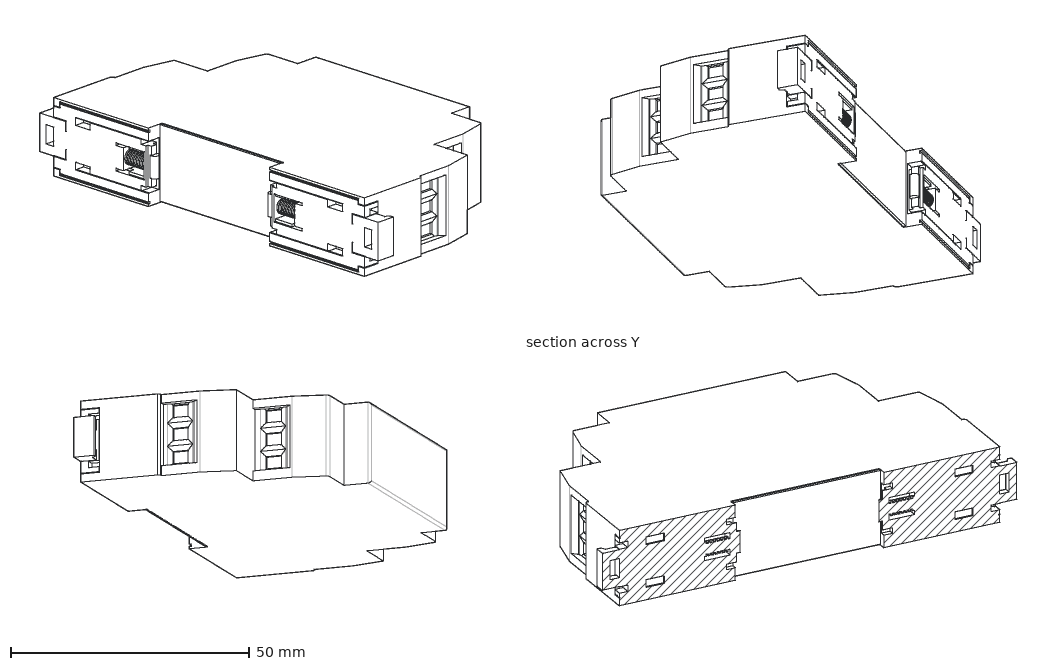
import cadquery as cq

overall_length = 98.0
housing_depth = 56.4
housing_height = 17.5
half_height = housing_height / 2

cap_half = 22.2
cap_base = 50.5
upper_shoulder_half = 31.1
upper_wall_half = 32.8
upper_slope_end = 42.9
lower_shoulder = 34.1
lower_shoulder_half = 42.4
lower_wall_half = 44.1
lower_slope_end = 26.6
base_step = 17.8
base_step_chamfer = 0.5
base_half = 45.0
shoulder_radius = 0.8
cap_radius = 0.6

rail_half = 17.5
rail_rim = 4.2
rail_floor = 3.6
rail_floor_setback = 0.2

window_tops = (42.4, 25.9)
window_shelves = (lower_shoulder, base_step)
window_walls = (upper_wall_half, lower_wall_half)
window_height = 13.5
window_center_z = 0.15
window_depth = 1.3
window_bevel = 1.2
cell_drop = 4.3
cell_count = 3
cell_pitch = 5.0
cell_center_z = 0.3
cell_width = 5.7
cell_hole_width = 3.4
cell_hole_height = 2.6
cell_funnel_depth = 0.34
cell_hole_depth = 1.0

latch_half = 4.3
latch_lip_height = 4.6
latch_strap_height = 3.6
latch_lip_width = 0.9
latch_lip_slope = 0.7
latch_slot_half = 2.2
latch_slot_start = 47.1
latch_tail = 41.5
latch_tail_mark = 2.3

seam_width = 0.1
seam_depth = 0.3
gap_inner = 7.7
gap_outer = 8.2
gap_depth = 0.5
corner_length = 1.8
corner_inner = 7.0
plate_height = 4.2
tongue_half = 5.8
tongue_start = 38.6
pocket_length = 4.2
pocket_width = 1.7
pocket_depth = 2.45
side_pocket_bottom = 1.8
side_pocket_width = 1.4
side_pocket_depth = 2.0

catch_opening_end = 19.6
catch_opening_height = 3.2
catch_half = 4.6
catch_end = 18.2
catch_bar_end = 17.2
catch_middle = 1.5
catch_bar_height = 1.6
nose_half = 2.5
nose_tip = 16.1
nose_radius = 1.0

spring_start = 24.8
spring_end = 18.8
spring_window_half = 2.5
spring_window_depth = 4.4
spring_axis = 2.2
spring_radius = 1.715
spring_core_radius = 1.3
spring_coils = 7
arm_start = 26.95
arm_step = 23.6
arm_half = 3.1
arm_ledge_depth = 0.5
arm_depth = 2.0


def box(x0, x1, y0, y1, z0, z1):
    """Box given by its limits along each axis."""
    return cq.Workplane("XY").box(x1 - x0, y1 - y0, z1 - z0, centered=False).translate((x0, y0, z0))


def both_z(shape):
    """The shape together with its mirror image across Z = 0."""
    return shape.union(shape.mirror("XY"))


def both_ends(shape):
    """The shape together with its mirror image across X = 0."""
    return shape.union(shape.mirror("YZ"))


def make_housing():
    right_side = [
        (rail_half, 0),
        (base_half, 0),
        (base_half, base_step - base_step_chamfer),
        (base_half - base_step_chamfer, base_step),
        (lower_wall_half, base_step),
        (lower_wall_half, lower_slope_end),
        (lower_shoulder_half, lower_shoulder),
        (upper_wall_half, lower_shoulder),
        (upper_wall_half, upper_slope_end),
        (upper_shoulder_half, cap_base),
        (cap_half, cap_base),
        (cap_half, housing_depth),
    ]
    left_side = [(-x, y) for x, y in reversed(right_side)]
    outline = right_side + left_side + [(-rail_half, rail_rim), (rail_half, rail_rim)]
    housing = cq.Workplane("XY").polyline(outline).close().extrude(half_height, both=True)

    for x in (-upper_shoulder_half, upper_shoulder_half):
        corner = cq.selectors.NearestToPointSelector((x, cap_base, 0))
        housing = housing.edges(corner).fillet(shoulder_radius)
    housing = housing.faces(">Y").edges().fillet(cap_radius)

    floor_half = half_height - rail_floor_setback
    return housing.union(box(-rail_half, rail_half, rail_floor, rail_rim, -floor_half, floor_half))


def make_terminal_cut(wall, top, shelf):
    """Bevelled window holding a row of tapered wells with rectangular holes."""
    floor = wall - window_depth
    low = window_center_z - window_height / 2
    high = window_center_z + window_height / 2
    window_profile = [
        (-wall, shelf),
        (-wall, top),
        (-wall + window_bevel, top - window_bevel),
        (-floor, top - window_bevel),
        (-floor, shelf),
    ]
    window = cq.Workplane("XY").workplane(offset=low).polyline(window_profile).close().extrude(high - low)

    wells = None
    for index in range(cell_count):
        z = cell_center_z + (index - (cell_count - 1) / 2) * cell_pitch
        mouth = cq.Workplane("YZ", origin=(-floor, top - cell_drop, z))
        well = (
            mouth.rect(cell_width, cell_pitch)
            .workplane(offset=cell_funnel_depth)
            .rect(cell_hole_width, cell_hole_height)
            .loft()
        )
        well = well.union(mouth.rect(cell_hole_width, cell_hole_height).extrude(cell_hole_depth))
        wells = well if wells is None else wells.union(well)
    reach = box(-floor, -floor + cell_hole_depth, shelf, top, low, high)
    return window.union(wells.intersect(reach))


def make_latch_tab():
    """Strap standing out of the end wall, with a raised lip and a finger slot."""
    tip = -overall_length / 2
    profile = [
        (tip, 0),
        (tip, latch_lip_height),
        (tip + latch_lip_width, latch_lip_height),
        (tip + latch_lip_width + latch_lip_slope, latch_strap_height),
        (-base_half, latch_strap_height),
        (-base_half, 0),
    ]
    tab = cq.Workplane("XY").polyline(profile).close().extrude(latch_half, both=True)
    slot = box(-latch_slot_start, -base_half, 0, latch_lip_height, -latch_slot_half, latch_slot_half)
    return tab.cut(slot)


def seam_along_x(x0, x1, z):
    """Hairline groove in the underside running along X."""
    return box(x0, x1, 0, seam_depth, z - seam_width / 2, z + seam_width / 2)


def seam_along_z(x, z0, z1):
    """Hairline groove in the underside running along Z."""
    return box(x - seam_width / 2, x + seam_width / 2, 0, seam_depth, z0, z1)


def make_base_cuts():
    """Gaps, part lines and pockets of the base plate at the -X end."""
    gap_start = -base_half + corner_length
    cuts = [
        box(gap_start, -rail_half, 0, gap_depth, gap_inner, gap_outer),
        seam_along_z(gap_start, corner_inner, gap_outer),
        box(-base_half, gap_start, 0, seam_depth, corner_inner - seam_width, corner_inner),
        box(-base_half, -base_half + seam_depth, 0, plate_height, corner_inner - seam_width, corner_inner),
        box(-base_half, -base_half + seam_depth, plate_height - seam_width, plate_height, 0, corner_inner),
        seam_along_x(-base_half, -latch_tail, latch_half),
        seam_along_z(-latch_tail, latch_half - latch_tail_mark, latch_half),
        seam_along_x(-tongue_start, -rail_half, tongue_half),
        box(
            -tongue_start,
            -tongue_start + pocket_length,
            0,
            pocket_depth,
            tongue_half - pocket_width,
            tongue_half,
        ),
        box(
            -base_half,
            -base_half + side_pocket_depth,
            side_pocket_bottom,
            plate_height,
            tongue_half - side_pocket_width,
            tongue_half,
        ),
    ]
    merged = cuts[0]
    for cut in cuts[1:]:
        merged = merged.union(cut)
    return both_z(merged)


def make_catch_opening():
    """Opening in the rail recess wall around the narrower end of the tongue."""
    opening = box(-catch_opening_end, -rail_half, 0, catch_opening_height, -tongue_half, tongue_half)
    tongue = box(-catch_opening_end, -catch_end, 0, catch_opening_height, -catch_half, catch_half)
    return opening.cut(tongue)


def make_catch():
    """Bar across the tongue end and its rounded nose that hooks the rail."""
    low = catch_middle - catch_bar_height / 2
    high = catch_middle + catch_bar_height / 2
    bar = box(-catch_end, -catch_bar_end, low, high, -catch_half, catch_half)
    nose = (
        cq.Workplane("XY")
        .center(-nose_tip - nose_radius, catch_middle)
        .circle(nose_radius)
        .extrude(nose_half, both=True)
    )
    return bar.union(nose)


def make_spring_pocket():
    """Window for the spring with a stepped slit along each side."""
    window = box(
        -spring_start,
        -spring_end,
        0,
        spring_window_depth,
        -spring_window_half,
        spring_window_half,
    )
    deep_slit = box(-arm_start, -arm_step, 0, arm_depth, spring_window_half, arm_half)
    shallow_slit = box(-arm_step, -spring_end, 0, arm_ledge_depth, spring_window_half, arm_half)
    return window.union(both_z(deep_slit.union(shallow_slit)))


def make_spring():
    """Compressed spring as a row of coils on a core along X."""
    length = spring_start - spring_end
    coil_pitch = length / spring_coils
    axis_start = cq.Workplane("YZ", origin=(-spring_start, spring_axis, 0))
    spring = axis_start.circle(spring_core_radius).extrude(length)
    for index in range(spring_coils):
        coil = axis_start.workplane(offset=index * coil_pitch)
        spring = spring.union(coil.circle(spring_radius).extrude(coil_pitch / 2))
    return spring


result = make_housing()
for wall, top, shelf in zip(window_walls, window_tops, window_shelves):
    result = result.cut(both_ends(make_terminal_cut(wall, top, shelf)))
result = result.union(both_ends(make_latch_tab()))
result = result.cut(both_ends(make_base_cuts()))
result = result.cut(both_ends(make_catch_opening()))
result = result.cut(both_ends(make_spring_pocket()))
result = result.union(both_ends(make_catch()))
result = result.union(both_ends(make_spring()))